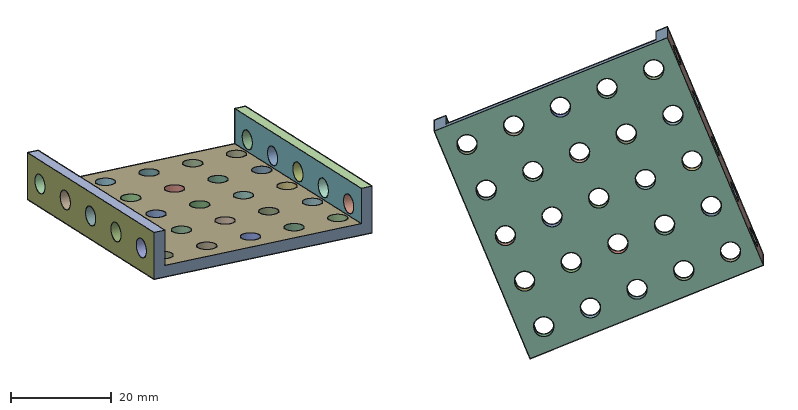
import cadquery as cq

hole_pitch = 10.0
holes_per_row = 5
wall_thickness = 2.5
hole_diameter = 4.0

side_length = holes_per_row * hole_pitch
channel_height = hole_pitch
inner_width = side_length - 2 * wall_thickness


def make_channel():
    """U-shaped channel along X, centred on X and Y, with its underside at Z = 0."""
    block = cq.Workplane("XY").box(side_length, side_length, channel_height, centered=(True, True, False))
    trough = (
        cq.Workplane("XY")
        .workplane(offset=wall_thickness)
        .rect(side_length, inner_width)
        .extrude(channel_height - wall_thickness)
    )
    return block.cut(trough)


def make_floor_holes():
    """Square grid of vertical pins that pierce the floor."""
    return (
        cq.Workplane("XY")
        .rarray(hole_pitch, hole_pitch, holes_per_row, holes_per_row)
        .circle(hole_diameter / 2)
        .extrude(wall_thickness)
    )


def make_wall_holes():
    """Row of pins along Y at mid-height that pierce both side walls."""
    return (
        cq.Workplane("XZ")
        .center(0, channel_height / 2)
        .rarray(hole_pitch, hole_pitch, holes_per_row, 1)
        .circle(hole_diameter / 2)
        .extrude(side_length / 2, both=True)
    )


result = make_channel().cut(make_floor_holes()).cut(make_wall_holes())